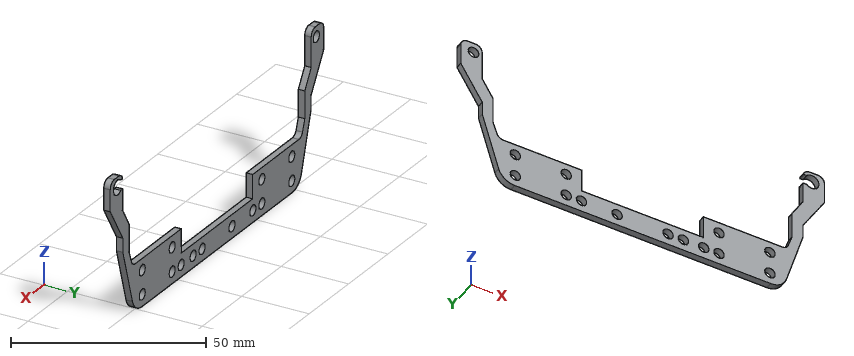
import cadquery as cq

thickness = 2.0
height = 42.4
base_height = 13.8

arm_outer_x = 54.2
arm_inner_x = 47.8
elbow_outer_x = arm_inner_x
elbow_inner_x = 44.6
shoulder_outer_z = 34.1
shoulder_inner_z = 31.7
elbow_outer_z = 23.8
elbow_inner_z = 26.4
knee_outer_z = 19.7
knee_inner_z = 18.4
foot_outer_x = 41.9
foot_inner_x = 43.0

tip_radius = 2.1
foot_radius = 5.0
inner_radius = 2.0

notch_width = 36.2
notch_floor_z = 6.8

hole_diameter = 3.0
lower_row_z = 3.5
upper_row_z = 10.4
hole_pitch = 15.2
upper_row_x = [-2.5 * hole_pitch, -1.5 * hole_pitch, 1.5 * hole_pitch, 2.5 * hole_pitch]
side_hole_x = 18.2
offset_hole_x = 12.2
middle_hole_x = [-side_hole_x, -0.5 * hole_pitch, 0.5 * hole_pitch, offset_hole_x, side_hole_x]
lower_row_x = upper_row_x + middle_hole_x

pivot_x = 50.5
pivot_z = 39.4
pivot_diameter = 3.1
hook_diameter = 4.2
hook_opening = 2.9
hook_lip_radius = 0.2


def extrude_back(sketch):
    """Extrude an XZ sketch from the front face through the plate thickness."""
    return sketch.extrude(-thickness)


def half_outline():
    """Points of the right half, from the bottom centre round to the top of the base."""
    return [
        (0, 0),
        (foot_outer_x, 0),
        (elbow_outer_x, knee_outer_z),
        (elbow_outer_x, elbow_outer_z),
        (arm_outer_x, shoulder_outer_z),
        (arm_outer_x, height),
        (arm_inner_x, height),
        (arm_inner_x, shoulder_inner_z),
        (elbow_inner_x, elbow_inner_z),
        (elbow_inner_x, knee_inner_z),
        (foot_inner_x, base_height),
        (0, base_height),
    ]


def round_corner(body, x, z, radius):
    """Round the edges through the thickness at (x, z) and at its mirror image."""
    for side in (-1, 1):
        corner = cq.selectors.NearestToPointSelector((side * x, thickness / 2, z))
        body = body.edges("|Y").edges(corner).fillet(radius)
    return body


def plate():
    half = extrude_back(cq.Workplane("XZ").polyline(half_outline()).close())
    body = half.union(half.mirror("YZ"))
    body = round_corner(body, foot_outer_x, 0, foot_radius)
    body = round_corner(body, foot_inner_x, base_height, inner_radius)
    body = round_corner(body, arm_outer_x, height, tip_radius)
    return round_corner(body, arm_inner_x, height, tip_radius)


def notch():
    depth = base_height - notch_floor_z
    return extrude_back(
        cq.Workplane("XZ").center(0, notch_floor_z + depth / 2).rect(notch_width, depth)
    )


def base_holes():
    centres = [(x, upper_row_z) for x in upper_row_x] + [(x, lower_row_z) for x in lower_row_x]
    return extrude_back(cq.Workplane("XZ").pushPoints(centres).circle(hole_diameter / 2))


def pivot_hole():
    return extrude_back(cq.Workplane("XZ").center(-pivot_x, pivot_z).circle(pivot_diameter / 2))


def hook_cutout():
    """Round seat with a slot that opens it toward the middle of the plate."""
    seat = extrude_back(cq.Workplane("XZ").center(pivot_x, pivot_z).circle(hook_diameter / 2))
    slot_length = hook_diameter
    slot = extrude_back(
        cq.Workplane("XZ").center(pivot_x - slot_length / 2, pivot_z).rect(slot_length, hook_opening)
    )
    return seat.union(slot)


def round_hook_lip(body):
    """Blunt the pointed lip above the hook's opening."""
    lip_z = pivot_z + hook_opening / 2
    lip = cq.selectors.NearestToPointSelector((arm_inner_x, thickness / 2, lip_z))
    return body.edges("|Y").edges(lip).fillet(hook_lip_radius)


bracket = (
    plate()
    .cut(notch())
    .cut(base_holes())
    .cut(pivot_hole())
    .cut(hook_cutout())
)
result = round_hook_lip(bracket)